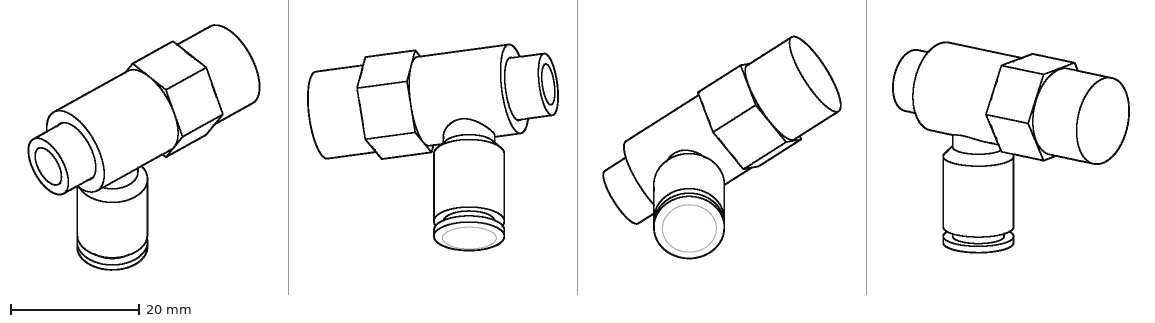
import cadquery as cq
import math


stud_length = 5.5
sleeve_length = 15.0
hex_length = 8.2
socket_length = 8.5
branch_to_hex = sleeve_length / 2

stud_diameter = 9.73
stud_bore_diameter = 6.4
sleeve_bore_diameter = 9.9
sleeve_diameter = 14.0
socket_diameter = 13.7
hex_across_flats = 14.0

neck_diameter = 8.0
cartridge_diameter = 11.0
rim_tip_diameter = 8.4

cone_top = 8.5
cone_height = (cartridge_diameter - neck_diameter) / 2
cartridge_end = 21.5
groove_width = 1.5
branch_end = 24.3
rim_bevel_height = 0.25

hex_front = branch_to_hex
hex_back = hex_front + hex_length
sleeve_front = hex_front - sleeve_length
stud_tip = sleeve_front - stud_length

stud_bore_depth = -stud_tip


def bar_along_y(diameter, start, end):
    """Round bar on the main axis between two Y positions."""
    plane = cq.Workplane("XZ", origin=(0, start, 0))
    return plane.circle(diameter / 2).extrude(start - end)


def make_bolt():
    """Hex bolt: stud running through the sleeve, hexagon, rear socket and a blind bore."""
    stud = bar_along_y(stud_diameter, stud_tip, hex_front)
    hex_across_corners = hex_across_flats / math.cos(math.pi / 6)
    hexagon = (
        cq.Workplane("XZ", origin=(0, hex_front, 0))
        .polygon(6, hex_across_corners)
        .extrude(-hex_length)
    )
    socket = bar_along_y(socket_diameter, hex_back, hex_back + socket_length)
    bore = bar_along_y(stud_bore_diameter, stud_tip, stud_tip + stud_bore_depth)
    return stud.union(hexagon).union(socket).cut(bore)


def make_branch():
    """Push-in branch, a solid of revolution hanging below the main axis."""
    neck = neck_diameter / 2
    cartridge = cartridge_diameter / 2
    groove_end = cartridge_end + groove_width
    outline = [
        (0, 0),
        (neck, 0),
        (neck, -cone_top),
        (cartridge, -cone_top - cone_height),
        (cartridge, -cartridge_end),
        (neck, -cartridge_end),
        (neck, -groove_end),
        (cartridge, -groove_end),
        (cartridge, -branch_end + rim_bevel_height),
        (rim_tip_diameter / 2, -branch_end),
        (0, -branch_end),
    ]
    return cq.Workplane("XZ").polyline(outline).close().revolve(360, (0, 0, 0), (0, 1, 0))


def make_banjo():
    """Sleeve with its branch, bored to clear the bolt stud."""
    sleeve = bar_along_y(sleeve_diameter, sleeve_front, hex_front)
    bore = bar_along_y(sleeve_bore_diameter, sleeve_front, hex_front)
    return sleeve.union(make_branch()).cut(bore)


bolt = make_bolt()
banjo = make_banjo()

result = cq.Compound.makeCompound([bolt.val(), banjo.val()])